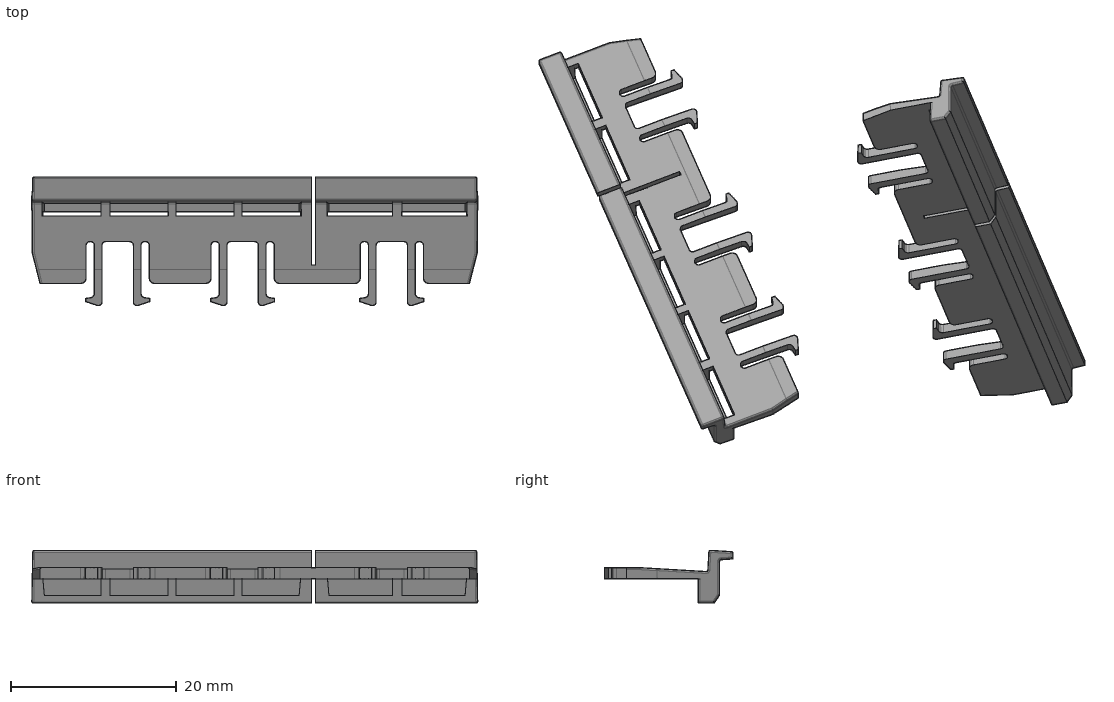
import cadquery as cq
import math


LENGTH = 53.84
DEPTH = 15.52
HEIGHT = 6.39
LIP_SLOPE = math.radians(3.4)

WEB_REAR_Y = -1.63
WEB_FRONT_TOP_Y = -2.92
WEB_LEAN = math.radians(3.2)
WALL_FRONT_Y = -4.22
LIP_REAR_TOP_Z = HEIGHT + WEB_FRONT_TOP_Y * math.tan(LIP_SLOPE)
LIP_REAR_UNDERSIDE_Z = 5.33
LIP_ROOT_UNDERSIDE_Z = 5.22
REAR_BEVEL_WIDTH = 0.65
REAR_BEVEL_HEIGHT = 0.95
WEB_TOP_RADIUS = 0.27
WEB_FOOT_RADIUS = 0.2
LIP_ROOT_RADIUS = 0.25
LIP_REAR_RADIUS = 0.2
WALL_TOE_RADIUS = 0.15

WEB_CORNER_Z = HEIGHT + WEB_TOP_RADIUS * (math.tan(LIP_SLOPE) + 1 / math.cos(LIP_SLOPE) - 1)


def web_front_y(z):
    return WEB_FRONT_TOP_Y - (HEIGHT - z) * math.tan(WEB_LEAN)


PLATE_BOTTOM_Z = 2.95
PLATE_TOP_Z = 4.3
PLATE_FRONT_Y = -12.87
PLATE_CREST_Y = -11.2
PLATE_ROOT_Z = 3.82
PLATE_ROOT_Y = web_front_y(PLATE_ROOT_Z)
END_TAPER_START_Y = -8.92
END_TAPER_WIDTH = 1.0
END_DRAFT = 0.12
END_RADIUS = 0.25

POCKET_FRONT_Y = -4.7
POCKET_FLOOR_Z = 0.9
POCKET_DRAFT = 0.3
LONG_GROUP = (1.23, 32.57)
LONG_GROUP_RIBS = ((8.9, 1.13), (16.95, 0.97), (24.9, 0.97))
SHORT_GROUP = (35.58, 52.6)
SHORT_GROUP_RIBS = ((44.1, 1.13),)

SLIT_X = 34.02
SLIT_WIDTH = 0.45
SLIT_END_Y = -10.6

PAIR_CENTRES_X = (10.38, 25.46, 43.46)
ARM_INNER = 1.88
ARM_OUTER = 2.83
CLEARANCE_OUTER = 3.8
BARB_OUTER = 3.87
ROOT_Y = -7.82
ROOT_RADIUS = 0.42
PLATE_CORNER_RADIUS = 0.68
BARB_REAR_Y = -14.5
BARB_TIP_REAR_Y = -14.65
BARB_TIP_FRONT_Y = -15.05
BARB_NOSE = 2.45
BARB_CORNER_RADIUS = 0.5
TIP_RADIUS = 0.42


def rail():
    """Lip, web, wall and plate as one cross-section drawn along the whole length."""
    body = (
        cq.Workplane("YZ")
        .moveTo(0, LIP_REAR_TOP_Z)
        .lineTo(web_front_y(WEB_CORNER_Z), WEB_CORNER_Z)
        .lineTo(PLATE_ROOT_Y, PLATE_ROOT_Z)
        .lineTo(PLATE_CREST_Y, PLATE_TOP_Z)
        .lineTo(-DEPTH, PLATE_TOP_Z)
        .lineTo(-DEPTH, PLATE_BOTTOM_Z)
        .lineTo(WALL_FRONT_Y, PLATE_BOTTOM_Z)
        .lineTo(WALL_FRONT_Y, 0)
        .lineTo(WEB_REAR_Y - REAR_BEVEL_WIDTH, 0)
        .lineTo(WEB_REAR_Y, REAR_BEVEL_HEIGHT)
        .lineTo(WEB_REAR_Y, LIP_ROOT_UNDERSIDE_Z)
        .lineTo(0, LIP_REAR_UNDERSIDE_Z)
        .close()
        .extrude(LENGTH)
    )
    for y, z, radius in (
        (web_front_y(WEB_CORNER_Z), WEB_CORNER_Z, WEB_TOP_RADIUS),
        (PLATE_ROOT_Y, PLATE_ROOT_Z, WEB_FOOT_RADIUS),
        (WEB_REAR_Y, LIP_ROOT_UNDERSIDE_Z, LIP_ROOT_RADIUS),
        (0, LIP_REAR_TOP_Z, LIP_REAR_RADIUS),
        (WALL_FRONT_Y, 0, WALL_TOE_RADIUS),
    ):
        body = body.edges(cq.NearestToPointSelector((LENGTH / 2, y, z))).fillet(radius)
    return body


def leaning_ends():
    """Block with both ends leaning inwards towards the top."""
    return (
        cq.Workplane("XZ")
        .moveTo(0, 0)
        .lineTo(LENGTH, 0)
        .lineTo(LENGTH - END_DRAFT, HEIGHT)
        .lineTo(END_DRAFT, HEIGHT)
        .close()
        .extrude(DEPTH)
    )


def upright_fillet(body, x, y, radius):
    return body.edges(cq.NearestToPointSelector((x, y, HEIGHT / 2))).fillet(radius)


def hook_arm(side):
    """One spring arm of a hook pair about X = 0; side is -1 for the left arm, 1 for the right."""
    arm = (
        cq.Workplane("XY")
        .moveTo(side * ARM_INNER, ROOT_Y)
        .lineTo(side * ARM_INNER, -DEPTH)
        .lineTo(side * BARB_NOSE, -DEPTH)
        .lineTo(side * BARB_OUTER, BARB_TIP_FRONT_Y)
        .lineTo(side * BARB_OUTER, BARB_TIP_REAR_Y)
        .lineTo(side * ARM_OUTER, BARB_REAR_Y)
        .lineTo(side * ARM_OUTER, ROOT_Y)
        .close()
        .extrude(HEIGHT)
    )
    arm = upright_fillet(arm, side * ARM_INNER, -DEPTH, TIP_RADIUS)
    arm = upright_fillet(arm, side * ARM_OUTER, BARB_REAR_Y, BARB_CORNER_RADIUS)
    return arm


def footprint():
    """Outline seen along Z, as tall as the part: tapered ends and the hook pairs."""
    body = (
        cq.Workplane("XY")
        .moveTo(0, 0)
        .lineTo(0, END_TAPER_START_Y)
        .lineTo(END_TAPER_WIDTH, PLATE_FRONT_Y)
        .lineTo(LENGTH - END_TAPER_WIDTH, PLATE_FRONT_Y)
        .lineTo(LENGTH, END_TAPER_START_Y)
        .lineTo(LENGTH, 0)
        .close()
        .extrude(HEIGHT)
    )
    opening_depth = ROOT_Y - PLATE_FRONT_Y
    for centre in PAIR_CENTRES_X:
        opening = cq.Workplane("XY").box(
            2 * CLEARANCE_OUTER, opening_depth, HEIGHT, centered=(True, False, False)
        )
        body = body.cut(opening.translate((centre, PLATE_FRONT_Y, 0)))
        for side in (-1, 1):
            body = upright_fillet(body, centre + side * CLEARANCE_OUTER, PLATE_FRONT_Y, PLATE_CORNER_RADIUS)
            body = body.union(hook_arm(side).translate((centre, 0, 0)))
            for offset in (ARM_INNER, ARM_OUTER, CLEARANCE_OUTER):
                body = upright_fillet(body, centre + side * offset, ROOT_Y, ROOT_RADIUS)
    return body


def on_rounded_end(edge):
    """True for the outline edges of the two ends, apart from the plate's underside and corners."""
    box = edge.BoundingBox()
    tolerance = 1e-3
    in_end = box.xmax < END_TAPER_WIDTH + tolerance or box.xmin > LENGTH - END_TAPER_WIDTH - tolerance
    under_plate = abs(box.zmax - PLATE_BOTTOM_Z) < tolerance and abs(box.zmin - PLATE_BOTTOM_Z) < tolerance
    plate_corner = box.ymax < WALL_FRONT_Y - tolerance and box.zmax - box.zmin > 2 * END_RADIUS
    return in_end and not under_plate and not plate_corner


def pocket(left, right, left_draft, right_draft):
    """Pocket whose back continues the web's front face; the sides lean by the given drafts."""
    front_shape = (
        cq.Workplane("XZ")
        .moveTo(left + left_draft, POCKET_FLOOR_Z)
        .lineTo(right - right_draft, POCKET_FLOOR_Z)
        .lineTo(right, PLATE_TOP_Z)
        .lineTo(left, PLATE_TOP_Z)
        .close()
        .extrude(-POCKET_FRONT_Y)
    )
    side_shape = (
        cq.Workplane("YZ", origin=(left, 0, 0))
        .moveTo(POCKET_FRONT_Y, POCKET_FLOOR_Z)
        .lineTo(web_front_y(POCKET_FLOOR_Z), POCKET_FLOOR_Z)
        .lineTo(web_front_y(PLATE_TOP_Z), PLATE_TOP_Z)
        .lineTo(POCKET_FRONT_Y, PLATE_TOP_Z)
        .close()
        .extrude(right - left)
    )
    return front_shape.intersect(side_shape)


def cut_pocket_group(body, span, ribs):
    """Cut the pockets that fill the span between its ribs; only the outermost sides lean."""
    first, last = span
    lefts = [first] + [x + width / 2 for x, width in ribs]
    rights = [x - width / 2 for x, width in ribs] + [last]
    for left, right in zip(lefts, rights):
        left_draft = POCKET_DRAFT if left == first else 0
        right_draft = POCKET_DRAFT if right == last else 0
        body = body.cut(pocket(left, right, left_draft, right_draft))
    return body


def slit():
    blade = cq.Workplane("XY").box(SLIT_WIDTH, -SLIT_END_Y, HEIGHT, centered=(True, False, False))
    return blade.translate((SLIT_X, SLIT_END_Y, 0))


result = rail().intersect(footprint()).intersect(leaning_ends())
rounded_edges = [edge for edge in result.edges().vals() if on_rounded_end(edge)]
result = result.newObject(rounded_edges).fillet(END_RADIUS)
result = cut_pocket_group(result, LONG_GROUP, LONG_GROUP_RIBS)
result = cut_pocket_group(result, SHORT_GROUP, SHORT_GROUP_RIBS)
result = result.cut(slit())